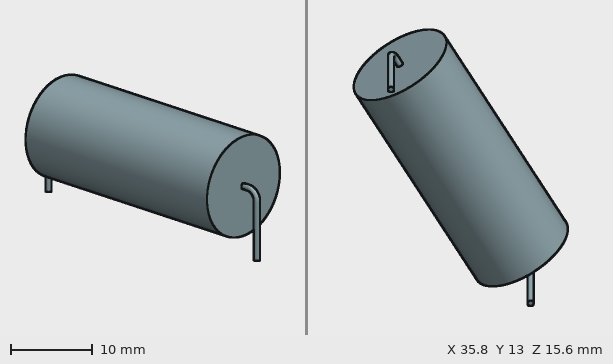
import cadquery as cq

case_diameter = 13.0
case_length = 30.5

overall_length = 35.8
overall_height = 15.55
lead_diameter = 0.8
bend_radius = 1.4

lead_radius = lead_diameter / 2
case_end = case_length / 2
lead_x = overall_length / 2 - lead_radius
lead_bottom = case_diameter / 2 - overall_height


def make_case():
    """Plain solid cylinder along X."""
    return (
        cq.Workplane("YZ")
        .workplane(offset=-case_end)
        .circle(case_diameter / 2)
        .extrude(case_length)
    )


def make_lead(side):
    """Round wire leaving the case end (side is -1 or +1) and bending down."""
    path = (
        cq.Workplane("XZ")
        .moveTo(side * case_end, 0)
        .lineTo(side * (lead_x - bend_radius), 0)
        .tangentArcPoint((side * lead_x, -bend_radius), relative=False)
        .lineTo(side * lead_x, lead_bottom)
    )
    return (
        cq.Workplane("YZ")
        .workplane(offset=side * case_end)
        .circle(lead_radius)
        .sweep(path)
    )


case = make_case()
leads = [make_lead(side) for side in (-1, 1)]

result = cq.Compound.makeCompound([case.val(), *[lead.val() for lead in leads]])